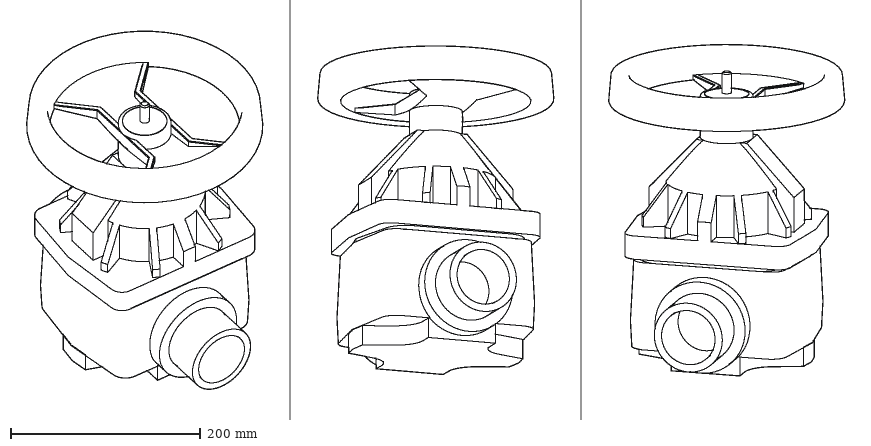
import cadquery as cq
import math


def sin(degrees):
    return math.sin(math.radians(degrees))


def cos(degrees):
    return math.cos(math.radians(degrees))


def tan(degrees):
    return math.tan(math.radians(degrees))


base_z = -55.0
body_floor_z = -34.0
parting_z = -6.0
body_top_z = 60.5
flange_bottom_z = 65.0
flange_top_z = 90.4
cone_base_z = 136.0
cone_top_z = 183.6
spindle_top_z = 254.7

body_half_x = 81.0
body_half_y = 95.9
body_face_tilt = 8.0
body_corner_radius = 19.0
body_draft = 3.0

pipe_length = 284.0
pipe_diameter = 75.0
bore_diameter = 59.0
collar_length = 197.0
collar_diameter = 99.4

foot_arm_x = 78.2
foot_arm_half_width = 37.9
foot_arm_y = 93.5
foot_tip_half_width = 20.5
foot_side_tilt = 19.3
foot_fillet_radius = 32.0

flange_half_x = 82.7
flange_half_y = 98.5
flange_face_tilt = 6.0
flange_corner_radius = 14.7
spigot_half_x = 77.7
spigot_half_y = 90.0
spigot_face_tilt = 12.0
spigot_corner_radius = 24.0

neck_radius = 28.0
cone_base_radius = 64.0
cone_slope = (cone_base_radius - neck_radius) / (cone_top_z - cone_base_z)

narrow_fin_width = 8.0
narrow_fin_reach = 90.3
narrow_fin_angles = (27.0, 63.0)
wide_fin_width = 15.0
wide_fin_reach = flange_half_x
buttress_width = 39.0
buttress_reach = 79.9
buttress_shoulder_z = 128.2

rim_bottom_z = 221.3
rim_top_z = 253.5
rim_bottom_radius = 125.1
rim_inner_radius = 100.5
rim_draft = 5.0
rim_edge_radius = 3.0

web_bottom_z = 210.2
web_angle = 9.0
web_thickness = 5.0
web_rim_overlap = 1.5
web_edge_radius = rim_inner_radius + web_rim_overlap
web_edge_bottom_z = web_bottom_z + (web_edge_radius - neck_radius) * tan(web_angle)
web_waist_half_x = 47.4
web_waist_half_y = 28.1
web_flare_angle = 45.0
rib_width = 6.3
rib_top_z = 226.6
rib_edge_chamfer = 0.8

hub_top_z = 230.5
hub_edge_radius = 2.5
cap_radius = 47.0 / 2
cap_step = 0.5
cap_peak_z = 232.3
spindle_radius = 10.0 / 2
spindle_chamfer = 1.5


def bowed_block(half_x, half_y, tilt, corner_radius, bottom_z, height, taper=0.0):
    """Block whose two Y faces rise to a shallow ridge at X = 0, with round corners."""
    corner_y = half_y - half_x * tan(tilt)
    outline = [
        (half_x, corner_y),
        (0, half_y),
        (-half_x, corner_y),
        (-half_x, -corner_y),
        (0, -half_y),
        (half_x, -corner_y),
    ]
    corners = [outline[i] for i in (0, 2, 3, 5)]
    face = cq.Sketch().polygon(outline + outline[:1])
    for x, y in corners:
        pick = cq.selectors.NearestToPointSelector((x, y, 0))
        face = face.reset().vertices(pick).fillet(corner_radius)
    return cq.Workplane("XY", origin=(0, 0, bottom_z)).placeSketch(face.reset()).extrude(height, taper=taper)


def spun(profile):
    """Solid of revolution about Z from (radius, z) points."""
    return cq.Workplane("XZ").polyline(profile).close().revolve(360, (0, 0, 0), (0, 1, 0))


def x_cylinder(diameter, length):
    return cq.Workplane("YZ").circle(diameter / 2).extrude(length / 2, both=True)


def foot_outline_points():
    """Start, middle and end of the concave fillet between two foot arms, then the tip corner (X, Y > 0)."""
    turn = 90 - foot_side_tilt
    tip_y = foot_arm_y - foot_tip_half_width * tan(body_face_tilt)
    end_y = foot_arm_half_width + foot_fillet_radius * (1 - cos(turn))
    end_x = foot_tip_half_width + (tip_y - end_y) * tan(foot_side_tilt)
    start_x = end_x + foot_fillet_radius * sin(turn)
    middle_x = start_x - foot_fillet_radius * sin(turn / 2)
    middle_y = foot_arm_half_width + foot_fillet_radius * (1 - cos(turn / 2))
    start = (start_x, foot_arm_half_width)
    return start, (middle_x, middle_y), (end_x, end_y), (foot_tip_half_width, tip_y)


def make_foot():
    """Cross-shaped foot: a straight arm along X and a tapering, ridged arm along Y."""
    start, middle, end, tip = foot_outline_points()
    half = (
        cq.Workplane("XY", origin=(0, 0, base_z))
        .moveTo(0, 0)
        .lineTo(foot_arm_x, 0)
        .lineTo(foot_arm_x, foot_arm_half_width)
        .lineTo(*start)
        .threePointArc(middle, end)
        .lineTo(*tip)
        .lineTo(0, foot_arm_y)
        .close()
        .extrude(body_floor_z - base_z)
    )
    half = half.union(half.mirror("YZ"))
    return half.union(half.mirror("XZ"))


def make_valve_body():
    shape = (body_half_x, body_half_y, body_face_tilt, body_corner_radius, parting_z)
    body = bowed_block(*shape, body_top_z - parting_z, body_draft)
    body = body.union(bowed_block(*shape, body_floor_z - parting_z, body_draft))
    body = body.union(make_foot())
    body = body.union(x_cylinder(collar_diameter, collar_length))
    body = body.union(x_cylinder(pipe_diameter, pipe_length))
    ports = x_cylinder(bore_diameter, pipe_length).cut(x_cylinder(bore_diameter, 2 * body_half_x))
    return body.cut(ports)


def radial_slab(width, reach):
    """Two opposite fins in one upright slab along X, centred on the spindle."""
    height = cone_top_z - flange_top_z
    return cq.Workplane("XY", origin=(0, 0, flange_top_z)).rect(2 * reach, width).extrude(height)


def make_dome():
    """Cylinder with fins around it, trimmed on top by one cone that runs down over all of them."""
    skirt_radius = neck_radius + cone_slope * (cone_top_z - flange_top_z)
    cone_profile = [
        (0, flange_top_z),
        (skirt_radius, flange_top_z),
        (neck_radius, cone_top_z),
        (0, cone_top_z),
    ]
    cone = spun(cone_profile)
    core = cq.Workplane("XY", origin=(0, 0, flange_top_z)).circle(cone_base_radius)
    finned_core = core.extrude(cone_top_z - flange_top_z)
    finned_core = finned_core.union(radial_slab(wide_fin_width, wide_fin_reach))
    for angle in narrow_fin_angles:
        for turn in (angle, -angle):
            fin_pair = radial_slab(narrow_fin_width, narrow_fin_reach).rotate((0, 0, 0), (0, 0, 1), turn)
            finned_core = finned_core.union(fin_pair)
    return cone.intersect(finned_core)


def make_buttresses():
    """Wide sloping buttresses on the front and back of the cone."""
    profile = [
        (-buttress_reach, flange_top_z),
        (buttress_reach, flange_top_z),
        (buttress_reach, buttress_shoulder_z),
        (neck_radius, cone_top_z),
        (-neck_radius, cone_top_z),
        (-buttress_reach, buttress_shoulder_z),
    ]
    return cq.Workplane("YZ").polyline(profile).close().extrude(buttress_width / 2, both=True)


def make_bonnet():
    spigot = bowed_block(
        spigot_half_x,
        spigot_half_y,
        spigot_face_tilt,
        spigot_corner_radius,
        body_top_z,
        flange_bottom_z - body_top_z,
    )
    flange = bowed_block(
        flange_half_x,
        flange_half_y,
        flange_face_tilt,
        flange_corner_radius,
        flange_bottom_z,
        flange_top_z - flange_bottom_z,
    )
    return spigot.union(flange).union(make_dome()).union(make_buttresses())


def make_rim():
    lean = (rim_top_z - rim_bottom_z) * tan(rim_draft)
    profile = [
        (rim_inner_radius, rim_bottom_z),
        (rim_bottom_radius, rim_bottom_z),
        (rim_bottom_radius - lean, rim_top_z),
        (rim_inner_radius + lean, rim_top_z),
    ]
    rim = spun(profile)
    rim = rim.faces(">Z").edges().fillet(rim_edge_radius)
    outermost = cq.selectors.RadiusNthSelector(-1)
    return rim.faces("<Z").edges(outermost).fillet(rim_edge_radius)


def waisted_prism(inset, bottom_z, top_z):
    """Prism narrow at the hub and flaring towards +X and -X, its sides moved in by the inset."""
    half_x = web_waist_half_x + inset * tan(web_flare_angle / 2)
    half_y = web_waist_half_y - inset
    far_x = rim_bottom_radius
    far_y = half_y + (far_x - half_x) * tan(web_flare_angle)
    outline = [
        (far_x, far_y),
        (half_x, half_y),
        (-half_x, half_y),
        (-far_x, far_y),
        (-far_x, -far_y),
        (-half_x, -half_y),
        (half_x, -half_y),
        (far_x, -far_y),
    ]
    return cq.Workplane("XY", origin=(0, 0, bottom_z)).polyline(outline).close().extrude(top_z - bottom_z)


def dished_disc(hub_z, edge_z):
    """Disc with a conical underside, its top running straight from hub_z at the hub to edge_z at the rim."""
    profile = [
        (0, web_bottom_z),
        (neck_radius, web_bottom_z),
        (web_edge_radius, web_edge_bottom_z),
        (web_edge_radius, edge_z),
        (neck_radius, hub_z),
        (0, hub_z),
    ]
    return spun(profile)


def make_web():
    web = dished_disc(web_bottom_z + web_thickness, web_edge_bottom_z + web_thickness)
    web = web.intersect(waisted_prism(0, web_bottom_z, rib_top_z + web_thickness))
    ribs = waisted_prism(0, web_bottom_z, rib_top_z).cut(waisted_prism(rib_width, web_bottom_z, rib_top_z))
    ribs = ribs.faces(">Z").edges().chamfer(rib_edge_chamfer)
    ribs = ribs.intersect(dished_disc(rib_top_z, rib_top_z))
    return web.union(ribs)


def make_hub():
    hub = cq.Workplane("XY", origin=(0, 0, cone_top_z)).circle(neck_radius).extrude(hub_top_z - cone_top_z)
    hub = hub.faces(">Z").edges().fillet(hub_edge_radius)
    cap_profile = [
        (0, hub_top_z),
        (cap_radius, hub_top_z),
        (cap_radius, hub_top_z + cap_step),
        (0, cap_peak_z),
    ]
    cap = spun(cap_profile)
    spindle = cq.Workplane("XY", origin=(0, 0, hub_top_z)).circle(spindle_radius)
    spindle = spindle.extrude(spindle_top_z - hub_top_z)
    spindle = spindle.faces(">Z").edges().chamfer(spindle_chamfer)
    return hub.union(cap).union(spindle)


def make_handwheel():
    return make_rim().union(make_web()).union(make_hub())


valve_body = make_valve_body()
bonnet = make_bonnet()
handwheel = make_handwheel()

result = cq.Compound.makeCompound([valve_body.val(), bonnet.val(), handwheel.val()])